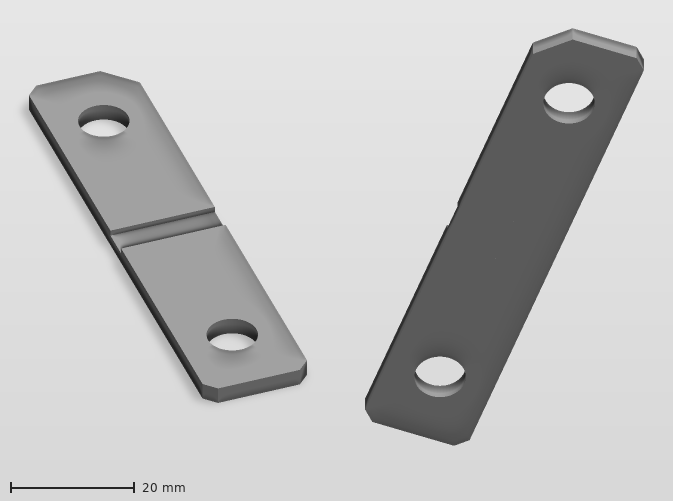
import cadquery as cq

length = 85.0
width = 18.0
thickness = 3.0

strip_length = 5.0
strip_thickness = 1.95

bolt_hole_diameter = 8.3
bolt_hole_offset = 30.0
corner_chamfer = 1.95
key_chamfer = 5.0
tap_hole_diameter = 0.1
tap_hole_offset = 4.0

terminal_length = (length - strip_length) / 2
terminal_offset = (strip_length + terminal_length) / 2


def make_terminal(side, back_chamfer):
    """End plate on the -X (side = -1) or +X (side = 1) half of the bar."""
    outer_face = "<X" if side < 0 else ">X"
    plate = (
        cq.Workplane("XY")
        .center(side * terminal_offset, 0)
        .box(terminal_length, width, thickness, centered=(True, True, False))
    )

    plate = plate.faces(outer_face).edges("<Y").chamfer(corner_chamfer)
    plate = plate.faces(outer_face).edges(">Y").chamfer(back_chamfer)

    bolt_hole = (
        cq.Workplane("XY")
        .center(side * bolt_hole_offset, 0)
        .circle(bolt_hole_diameter / 2)
        .extrude(thickness)
    )
    tap_hole = (
        cq.Workplane("XY")
        .center(side * tap_hole_offset, 0)
        .circle(tap_hole_diameter / 2)
        .extrude(thickness)
    )
    return plate.cut(bolt_hole).cut(tap_hole)


def make_strip():
    """Thin strip joining the inner faces of the terminals."""
    return cq.Workplane("XY").box(strip_length, width, strip_thickness, centered=(True, True, False))


terminals = [
    make_terminal(side, back_chamfer)
    for side, back_chamfer in ((-1, key_chamfer), (1, corner_chamfer))
]
strip = make_strip()

result = cq.Compound.makeCompound([strip.val(), *[terminal.val() for terminal in terminals]])